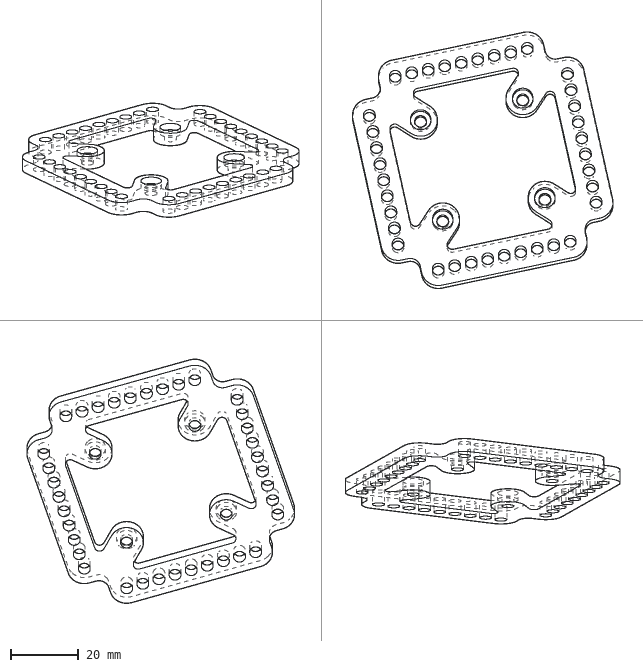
import cadquery as cq
import math

side = 70.0
thickness = 4.0
grid_cells = 14
pitch = side / grid_cells

rail_width = 2 * pitch
window_side = side - 2 * rail_width
rail_length = window_side
rail_corner_radius = pitch
notch_radius = 3.0

rail_hole_diameter = 3.5
holes_per_rail = 9
rail_hole_offset = (side - rail_width) / 2

lug_offset = 15.5
lug_radius = pitch
lug_root_radius = 1.5
screw_hole_diameter = 3.5
counterbore_diameter = 6.1
counterbore_depth = 2.0

four_corners = [(x, y) for x in (-1, 1) for y in (-1, 1)]


def make_rail_pair(length_x, length_y):
    """Flat block with rounded corners, spanning two opposite rails."""
    block = cq.Workplane("XY").rect(length_x, length_y).extrude(thickness)
    return block.edges("|Z").fillet(rail_corner_radius)


def make_cross():
    """Square outline with a rounded notch taken out of each corner."""
    cross = make_rail_pair(side, rail_length).union(make_rail_pair(rail_length, side))
    for x, y in four_corners:
        notch_corner = (x * rail_length / 2, y * rail_length / 2, thickness / 2)
        cross = cross.edges(cq.selectors.NearestToPointSelector(notch_corner)).fillet(notch_radius)
    return cross


def make_lug(x, y):
    """Diagonal slot-shaped arm centred on a window corner, its inner end rounded about the lug centre."""
    reach = math.sqrt(2) * (window_side / 2 - lug_offset)
    arm_centre = (x * window_side / 2, y * window_side / 2)
    direction = math.degrees(math.atan2(y, x))
    return (
        cq.Workplane("XY")
        .center(*arm_centre)
        .slot2D(2 * (reach + lug_radius), 2 * lug_radius, direction)
        .extrude(thickness)
    )


def make_window():
    """Central opening, with the four lugs left standing in its corners."""
    window = cq.Workplane("XY").rect(window_side, window_side).extrude(thickness)
    for x, y in four_corners:
        window = window.cut(make_lug(x, y))
    return window.faces(">X or <X or >Y or <Y").edges("|Z").fillet(lug_root_radius)


def rail_hole_points():
    """Hole centres on all four rails."""
    points = []
    for i in range(holes_per_rail):
        along = (i - (holes_per_rail - 1) / 2) * pitch
        for across in (-rail_hole_offset, rail_hole_offset):
            points.append((along, across))
            points.append((across, along))
    return points


frame = make_cross().cut(make_window())

drilled = (
    frame.faces(">Z")
    .workplane(origin=(0, 0, thickness))
    .pushPoints(rail_hole_points())
    .hole(rail_hole_diameter)
)

result = (
    drilled.faces(">Z")
    .workplane(origin=(0, 0, thickness))
    .pushPoints([(x * lug_offset, y * lug_offset) for x, y in four_corners])
    .cboreHole(screw_hole_diameter, counterbore_diameter, counterbore_depth)
)